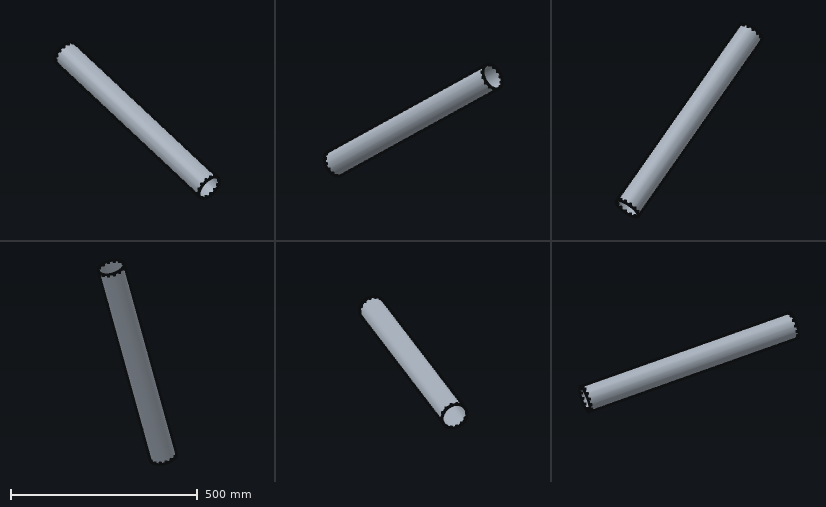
import cadquery as cq

length = 610.0
outer_diameter = 74.0
wall = 2.0

hole_diameter = 2.6
holes_per_ring = 14
ring_inset = 4.0

outer_radius = outer_diameter / 2
inner_radius = outer_radius - wall


def make_tube():
    return (
        cq.Workplane("YZ")
        .workplane(offset=-length / 2)
        .circle(outer_radius)
        .circle(inner_radius)
        .extrude(length)
    )


def drill_ring(tube, ring_x):
    """Drill evenly spaced radial holes, with one hole on the +Y side."""
    for index in range(holes_per_ring):
        angle = index * 360 / holes_per_ring
        drill = cq.Solid.makeCylinder(
            hole_diameter / 2,
            outer_diameter,
            cq.Vector(ring_x, 0, 0),
            cq.Vector(0, 1, 0),
        ).rotate(cq.Vector(0, 0, 0), cq.Vector(1, 0, 0), angle)
        tube = tube.cut(drill)
    return tube


result = make_tube()
result = drill_ring(result, -length / 2 + ring_inset)
result = drill_ring(result, length / 2 - ring_inset)